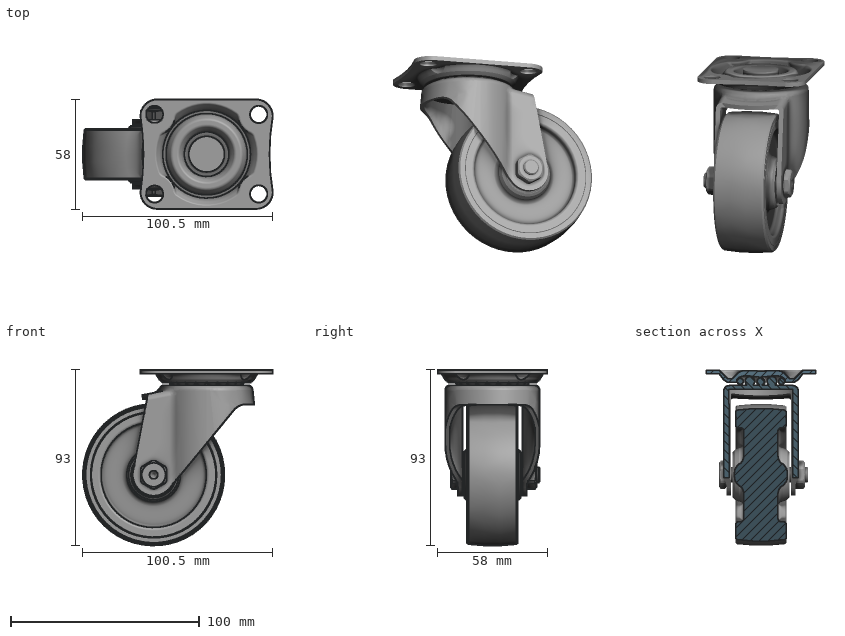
import cadquery as cq
import math


caster_height = 93.0
wheel_radius = 37.5
axle_x = -28.0
axle_z = wheel_radius - caster_height

plate_length = 70.0
plate_width = 58.0
plate_corner_radius = 9.0
plate_waist = 1.7
sheet = 2.2
hole_spacing_x = 55.0
hole_spacing_y = 42.0
hole_diameter = 9.0

cup_depth = 6.8
cup_floor_z = sheet - cup_depth
cup_rim_radius = 26.8
cup_rim_fillet = 1.2
cup_floor_radius = 23.2
cup_shoulder_radius = 25.0
cup_shoulder_z = -5.2
dent_radius = 11.0
dent_corner_fillet = 1.5
dent_back_radius = 9.6
crest_z = -0.45
crest_inner_radius = 14.9
crest_outer_radius = 18.6
crest_fillet = 1.8
crest_foot_inner = 11.8
crest_foot_outer = 21.5

pin_radius = 9.43
ball_count = 18
ball_radius = 2.75
ball_circle_radius = 17.0
ball_z = -6.1
race_clearance = 0.05

fork_wall = 2.4
arm_outer_y = 18.2
arm_end_radius = 11.0
arm_tilt = math.radians(10.8)
skirt_slope = math.radians(50.5)
bridge_start_x = -31.3
bridge_start_z = -12.8
bridge_bulge = 2.8
bend_radius = 3.4
head_top_z = -8.1
head_radius = 25.0
head_fillet = 2.9
rear_reach = 22.6
rear_start_x = 1.6
rear_lean = math.radians(5.5)
skirt_bottom_z = -18.35
skirt_fillet = 8.0
arm_blend_radius = 5.0
arm_root_x = -14.5

rim_half_width = 13.5
tread_half_width = 12.6
tread_edge_radius = 36.7
tyre_side_radius = 35.9
seam_radius = 33.1
seam_width = 0.4
seam_depth = 0.3
web_half_width = 9.1
web_outer_radius = 26.3
rim_inner_radius = 29.4
hub_foot_radius = 16.6
hub_foot_fillet = 2.4
hub_radius = 13.2
hub_crest_radius = 12.0
hub_dish_radius = 11.2
hub_half_width = 15.0
hub_dish_depth = 1.0

bolt_radius = 4.1
bolt_end_y = 25.0
bolt_end_chamfer = 0.6
head_thickness = 3.9
nut_thickness = 5.1
hex_flats = 13.7
hex_turned_diameter = 15.0
hex_face_radius = 6.3
hex_chamfer_height = 0.85
center_drill_radius = 2.2

FAR = 100.0


def rod_y(radius, y_from, y_to):
    """Cylinder on the wheel axle between two Y positions."""
    axle = cq.Vector(axle_x, y_from, axle_z)
    return cq.Workplane(cq.Solid.makeCylinder(radius, y_to - y_from, axle, cq.Vector(0, 1, 0)))


def extrude_side(outline, half_width):
    """Extrude a closed XZ outline symmetrically across Y."""
    return outline.close().extrude(half_width, both=True)


def plate_blank():
    end_x = plate_length / 2
    side_y = plate_width / 2
    flat_x = end_x - plate_corner_radius
    flat_y = side_y - plate_corner_radius
    diagonal = plate_corner_radius * math.sqrt(0.5)
    mid_x = flat_x + diagonal
    mid_y = flat_y + diagonal
    waist_x = end_x - plate_waist
    return (
        cq.Workplane("XY").workplane(offset=-sheet)
        .moveTo(-flat_x, side_y)
        .lineTo(flat_x, side_y)
        .threePointArc((mid_x, mid_y), (end_x, flat_y))
        .threePointArc((waist_x, 0), (end_x, -flat_y))
        .threePointArc((mid_x, -mid_y), (flat_x, -side_y))
        .lineTo(-flat_x, -side_y)
        .threePointArc((-mid_x, -mid_y), (-end_x, -flat_y))
        .threePointArc((-waist_x, 0), (-end_x, flat_y))
        .threePointArc((-mid_x, mid_y), (-flat_x, side_y))
        .close()
        .extrude(sheet)
    )


def at_mounting_holes(radius):
    """Four tall cylinders centered on the mounting holes."""
    return (
        cq.Workplane("XY").workplane(offset=-FAR / 2)
        .rect(hole_spacing_x, hole_spacing_y, forConstruction=True)
        .vertices().circle(radius).extrude(FAR)
    )


def cup_outside():
    outside = (
        cq.Workplane("XZ")
        .polyline([
            (0, -sheet / 2),
            (cup_rim_radius, -sheet / 2),
            (cup_rim_radius, -sheet),
            (cup_shoulder_radius, cup_shoulder_z),
            (cup_floor_radius, -cup_depth),
            (0, -cup_depth),
        ])
        .close().revolve()
    )
    return outside.cut(at_mounting_holes(dent_back_radius))


def cup_dish():
    """Hollow of the cup's upper side, with the four dents left standing."""
    dish = (
        cq.Workplane("XZ")
        .polyline([(0, 0), (cup_rim_radius, 0), (cup_floor_radius, cup_floor_z), (0, cup_floor_z)])
        .close().revolve()
    )
    dish = dish.cut(at_mounting_holes(dent_radius))
    dent_corners = dish.edges("%BSPLINE")
    return dent_corners.fillet(dent_corner_fillet)


def bearing_crest():
    """Ring that rises from the cup floor over the balls."""
    crest = (
        cq.Workplane("XZ")
        .polyline([
            (crest_foot_inner, cup_floor_z),
            (crest_inner_radius, crest_z),
            (crest_outer_radius, crest_z),
            (crest_foot_outer, cup_floor_z),
        ])
        .close().revolve()
    )
    return crest.faces(">Z").edges().fillet(crest_fillet)


def ball_race():
    """Groove under the crest: rounded above the ball centers, straight below them."""
    radius = ball_radius + race_clearance
    return (
        cq.Workplane("XZ")
        .moveTo(ball_circle_radius - radius, -cup_depth)
        .lineTo(ball_circle_radius - radius, ball_z)
        .threePointArc((ball_circle_radius, ball_z + radius), (ball_circle_radius + radius, ball_z))
        .lineTo(ball_circle_radius + radius, -cup_depth)
        .close().revolve()
    )


def make_plate():
    body = plate_blank().union(cup_outside()).cut(cup_dish())
    reach = cup_rim_radius + 1
    rim = cq.selectors.BoxSelector((-reach, -reach, -0.01), (reach, reach, 0.01))
    body = body.edges(rim).fillet(cup_rim_fillet)
    body = body.union(bearing_crest()).cut(ball_race())
    body = body.cut(at_mounting_holes(hole_diameter / 2))
    pin_hole = cq.Workplane("XY").circle(pin_radius).extrude(-FAR)
    return body.cut(pin_hole)


def bridge_height(x):
    """Height of the bridge's upper face at a given X."""
    return bridge_start_z + (x - bridge_start_x) * math.tan(arm_tilt)


def side_mask():
    """Side outline of the whole fork, open upward, as a wide block."""
    lead = (
        axle_x - arm_end_radius * math.cos(arm_tilt),
        axle_z + arm_end_radius * math.sin(arm_tilt),
    )
    lead_top_z = 0.0
    lead_top_x = lead[0] + (lead_top_z - lead[1]) * math.tan(arm_tilt)
    trail = (
        axle_x + arm_end_radius * math.sin(skirt_slope),
        axle_z - arm_end_radius * math.cos(skirt_slope),
    )
    corner_x = trail[0] + (skirt_bottom_z - trail[1]) / math.tan(skirt_slope)
    block = extrude_side(
        cq.Workplane("XZ")
        .moveTo(lead_top_x, lead_top_z)
        .lineTo(*lead)
        .threePointArc((axle_x, axle_z - arm_end_radius), trail)
        .lineTo(corner_x, skirt_bottom_z)
        .lineTo(FAR, skirt_bottom_z)
        .lineTo(FAR, lead_top_z),
        FAR,
    )
    corner = cq.selectors.NearestToPointSelector((corner_x, 0, skirt_bottom_z))
    return block.edges(corner).fillet(skirt_fillet)


def under_bridge_block(half_width, drop, bend):
    """Block between the arms' faces, topped by the sloping bridge plane lowered by `drop`."""
    left_x = axle_x - 2 * arm_end_radius
    block = extrude_side(
        cq.Workplane("XZ")
        .moveTo(left_x, bridge_height(left_x) - drop)
        .lineTo(arm_root_x, bridge_height(arm_root_x) - drop)
        .lineTo(arm_root_x, -FAR)
        .lineTo(left_x, -FAR),
        half_width,
    )
    return block.faces(">Z").edges("not |Y").fillet(bend)


def head_block(inset):
    """Swivel head inset by a wall: round in front, a leaning half ellipse behind."""
    radius = head_radius - inset
    top = head_top_z - inset
    seam_x = rear_start_x + (head_top_z - top) * math.tan(rear_lean)
    front = (
        cq.Workplane("XY").workplane(offset=top)
        .moveTo(seam_x, radius)
        .lineTo(0, radius)
        .threePointArc((-radius, 0), (0, -radius))
        .lineTo(seam_x, -radius)
        .close().extrude(-FAR)
    )
    rear_wire = (
        cq.Workplane("XY").workplane(offset=top).center(seam_x, 0)
        .moveTo(0, -radius)
        .ellipseArc(rear_reach - inset, radius, -90, 90)
        .close().val()
    )
    lean = cq.Vector(FAR * math.tan(rear_lean), 0, -FAR)
    rear = cq.Workplane(cq.Solid.extrudeLinear(rear_wire, [], lean))
    between = extrude_side(
        cq.Workplane("XZ")
        .moveTo(seam_x, top)
        .lineTo(seam_x + FAR * math.tan(rear_lean), top - FAR)
        .lineTo(seam_x, top - FAR),
        radius,
    )
    return front.union(between).union(rear)


def bridge_lip():
    """Bowed front edge of the bridge, lying in the bridge's slope."""
    half = arm_outer_y - bend_radius
    slope = cq.Plane(
        origin=(bridge_start_x, 0, bridge_start_z),
        xDir=(math.cos(arm_tilt), 0, math.sin(arm_tilt)),
        normal=(-math.sin(arm_tilt), 0, math.cos(arm_tilt)),
    )
    return (
        cq.Workplane(slope)
        .moveTo(fork_wall, half)
        .lineTo(0, half)
        .threePointArc((-bridge_bulge, 0), (0, -half))
        .lineTo(fork_wall, -half)
        .close().extrude(-fork_wall)
    )


def make_fork():
    head = head_block(0).faces(">Z").edges().fillet(head_fillet)
    shell = under_bridge_block(arm_outer_y, 0, bend_radius).union(head)
    junction_x = -math.sqrt(head_radius**2 - arm_outer_y**2)
    junctions = cq.selectors.BoxSelector(
        (junction_x - 1, -arm_outer_y - 1, -FAR), (junction_x + 1, arm_outer_y + 1, 0)
    )
    shell = shell.edges(junctions).edges("|Z").fillet(arm_blend_radius)
    shell = shell.intersect(side_mask())
    hollow = under_bridge_block(arm_outer_y - fork_wall, fork_wall, bend_radius - fork_wall)
    shell = shell.cut(hollow).cut(head_block(fork_wall)).union(bridge_lip())
    shell = shell.cut(rod_y(bolt_radius, -FAR, FAR))
    pin = cq.Workplane("XY").workplane(offset=head_top_z - fork_wall).circle(pin_radius)
    shell = shell.union(pin.extrude(fork_wall - head_top_z))
    balls = (
        cq.Workplane("XY").workplane(offset=ball_z)
        .polarArray(ball_circle_radius, 0, 360, ball_count).sphere(ball_radius)
    )
    return shell.union(balls)


def make_wheel():
    step_radius = (web_outer_radius + rim_inner_radius) / 2
    step_fillet = step_radius - web_outer_radius
    dish_y = hub_half_width - hub_dish_depth
    flank_y = hub_half_width - (hub_radius - hub_crest_radius)
    flank_half = (
        cq.Workplane("XY")
        .moveTo(bolt_radius, 0)
        .lineTo(bolt_radius, dish_y)
        .lineTo(hub_dish_radius, dish_y)
        .lineTo(hub_crest_radius, hub_half_width)
        .lineTo(hub_radius, flank_y)
        .lineTo(hub_foot_radius - hub_foot_fillet, web_half_width + hub_foot_fillet)
        .radiusArc((hub_foot_radius, web_half_width), -hub_foot_fillet)
        .lineTo(web_outer_radius, web_half_width)
        .radiusArc((step_radius, web_half_width + step_fillet), -step_fillet)
        .lineTo(step_radius, rim_half_width - step_fillet)
        .radiusArc((rim_inner_radius, rim_half_width), step_fillet)
        .lineTo(seam_radius - seam_width / 2, rim_half_width)
        .lineTo(seam_radius, rim_half_width - seam_depth)
        .lineTo(seam_radius + seam_width / 2, rim_half_width)
        .lineTo(tyre_side_radius, rim_half_width)
        .lineTo(tread_edge_radius, tread_half_width)
        .lineTo(tread_edge_radius, 0)
        .close()
        .revolve(360, (0, 0, 0), (0, 1, 0))
    )
    tread = (
        cq.Workplane("XY")
        .moveTo(seam_radius, -tread_half_width)
        .lineTo(tread_edge_radius, -tread_half_width)
        .threePointArc((wheel_radius, 0), (tread_edge_radius, tread_half_width))
        .lineTo(seam_radius, tread_half_width)
        .close()
        .revolve(360, (0, 0, 0), (0, 1, 0))
    )
    return flank_half.union(flank_half.mirror("XZ")).union(tread).translate((axle_x, 0, axle_z))


def hex_blank(thickness, chamfer_both_faces):
    """Hexagon with turned corners along +Y from Y = 0, vertices up and down, chamfered far face."""
    across_corners = hex_flats / math.cos(math.pi / 6)
    prism = (
        cq.Workplane("XZ").transformed(rotate=(0, 0, 90))
        .polygon(6, across_corners).extrude(-thickness)
    )
    near_radius = hex_face_radius if chamfer_both_faces else hex_turned_diameter / 2
    turned = (
        cq.Workplane("XY")
        .polyline([
            (0, 0),
            (near_radius, 0),
            (hex_turned_diameter / 2, hex_chamfer_height),
            (hex_turned_diameter / 2, thickness - hex_chamfer_height),
            (hex_face_radius, thickness),
            (0, thickness),
        ])
        .close().revolve(360, (0, 0, 0), (0, 1, 0))
    )
    return prism.intersect(turned)


def make_bolt():
    head = hex_blank(head_thickness, True).mirror("XZ").translate((axle_x, -arm_outer_y, axle_z))
    shank = rod_y(bolt_radius, -arm_outer_y, bolt_end_y).faces(">Y").chamfer(bolt_end_chamfer)
    center_drill = cq.Solid.makeCone(
        center_drill_radius, 0, center_drill_radius,
        cq.Vector(axle_x, -arm_outer_y - head_thickness, axle_z), cq.Vector(0, 1, 0),
    )
    return shank.union(head).cut(cq.Workplane(center_drill))


def make_nut():
    nut = hex_blank(nut_thickness, False).translate((axle_x, arm_outer_y, axle_z))
    return nut.cut(rod_y(bolt_radius, -FAR, FAR))


plate = make_plate()
fork = make_fork()
wheel = make_wheel()
bolt = make_bolt()
nut = make_nut()

result = cq.Compound.makeCompound([plate.val(), fork.val(), wheel.val(), bolt.val(), nut.val()])